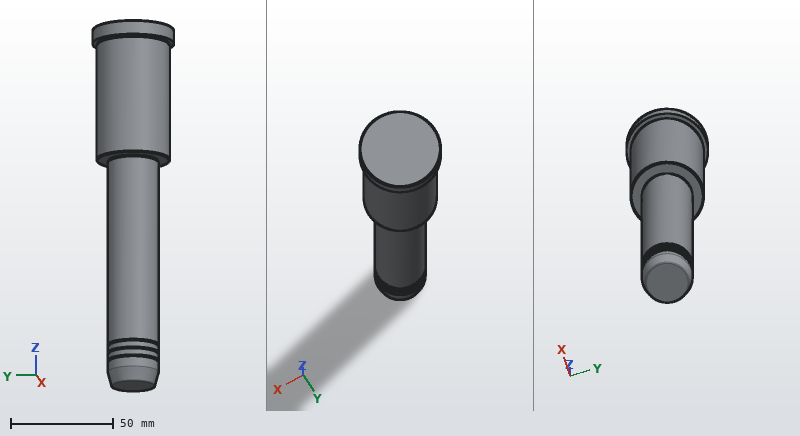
import cadquery as cq
import math

total_length = 180.0
head_diameter = 40.0
head_height = 7.0
head_edge_chamfer = 0.5
body_diameter = 36.0
body_bottom = 114.0
body_edge_chamfer = 0.5
pin_diameter = 25.0
pin_top = 113.0
undercut_depth = 0.5
undercut_height = 0.5
tip_height = 7.0
tip_angle = 15.0
tip_fillet = 0.5
groove_width = 0.9
groove_depth = 0.5
groove_pitch = 4.0
groove_count = 3
first_groove_center = 12.5

head_bottom = total_length - head_height
body_top = head_bottom - undercut_height
pin_radius = pin_diameter / 2
tip_radius = pin_radius - tip_height * math.tan(math.radians(tip_angle))


def cylinder(diameter, bottom, top):
    return cq.Workplane("XY").workplane(offset=bottom).circle(diameter / 2).extrude(top - bottom)


def make_head():
    return cylinder(head_diameter, head_bottom, total_length).faces(">Z").chamfer(head_edge_chamfer)


def make_body():
    """Thick shank with both end edges broken and a recessed neck under the head."""
    body = cylinder(body_diameter, body_bottom, body_top)
    body = body.faces("<Z or >Z").edges().chamfer(body_edge_chamfer)
    neck = cylinder(body_diameter - 2 * undercut_depth, body_top, head_bottom)
    return body.union(neck)


def make_pin():
    """Slim pin with a tapered, rounded tip and a recessed neck under the body."""
    profile = (
        cq.Workplane("XZ")
        .moveTo(0, 0)
        .lineTo(tip_radius, 0)
        .lineTo(pin_radius, tip_height)
        .lineTo(pin_radius, pin_top)
        .lineTo(0, pin_top)
        .close()
    )
    pin = profile.revolve(360, (0, 0, 0), (0, 1, 0)).faces("<Z").edges().fillet(tip_fillet)
    neck = cylinder(pin_diameter - 2 * undercut_depth, pin_top, body_bottom)
    return pin.union(neck)


def make_groove(center):
    """Ring of material to remove for one V-shaped groove around the pin."""
    floor_radius = pin_radius - groove_depth
    outer_radius = pin_radius + groove_depth
    half_width = groove_width / 2
    profile = (
        cq.Workplane("XZ")
        .moveTo(floor_radius, center)
        .lineTo(pin_radius, center - half_width)
        .lineTo(outer_radius, center - half_width)
        .lineTo(outer_radius, center + half_width)
        .lineTo(pin_radius, center + half_width)
        .close()
    )
    return profile.revolve(360, (0, 0, 0), (0, 1, 0))


result = make_head().union(make_body()).union(make_pin())
for index in range(groove_count):
    result = result.cut(make_groove(first_groove_center + index * groove_pitch))